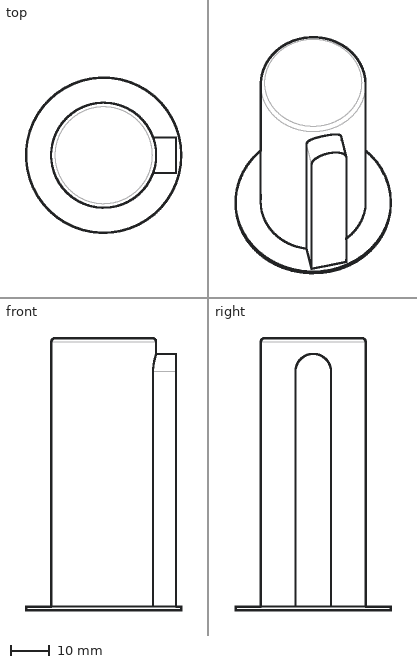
import cadquery as cq

total_height = 70.0
flange_diameter = 40.0
flange_thickness = 1.0
body_diameter = 27.0
top_face_diameter = 25.0
top_edge_radius = (body_diameter - top_face_diameter) / 2

rib_reach = 18.6
rib_width = 9.2
rib_top = 65.95
rib_radius = rib_width / 2
rib_shoulder = rib_top - rib_radius


def make_flange():
    return cq.Workplane("XY").circle(flange_diameter / 2).extrude(flange_thickness)


def make_body():
    body = cq.Workplane("XY").circle(body_diameter / 2).extrude(total_height)
    return body.faces(">Z").edges().fillet(top_edge_radius)


def make_rib():
    return (
        cq.Workplane("YZ")
        .moveTo(-rib_radius, 0)
        .lineTo(rib_radius, 0)
        .lineTo(rib_radius, rib_shoulder)
        .threePointArc((0, rib_top), (-rib_radius, rib_shoulder))
        .close()
        .extrude(rib_reach)
    )


result = make_flange().union(make_body()).union(make_rib())